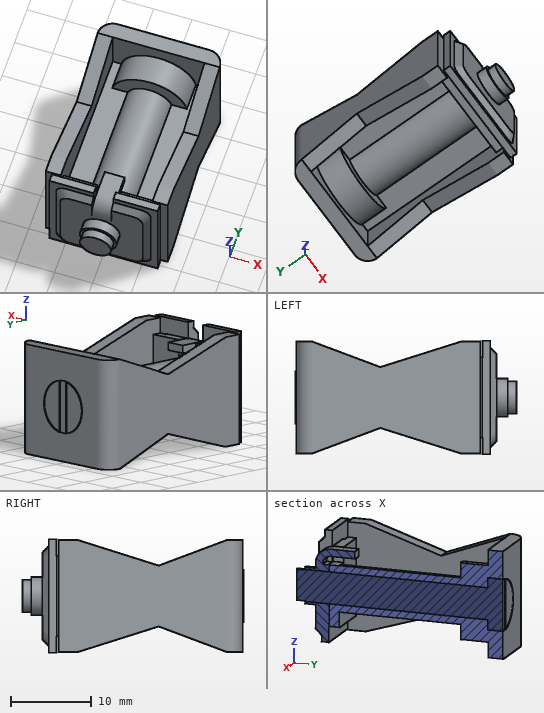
import cadquery as cq
import math


FRAME_WIDTH = 16.0
FRAME_HEIGHT = 14.0
FRAME_LENGTH = 22.95
WALL = 2.0
INNER_WIDTH = FRAME_WIDTH - 2 * WALL
BACK_CORNER_RADIUS = WALL
WAIST_Y = -10.5
WAIST_HEIGHT = 7.62
WAIST_END_Y = -20.55
WEB_THICKNESS = 2.0
WEB_TOP = WEB_THICKNESS / 2
RAIL_THICKNESS = 1.2
RAIL_HEIGHT = 10.05
RAIL_NOTCH_WIDTH = 3.05
SPACER_WIDTH = 10.25
COVER_GAP = 0.25

HUB_DIAMETER = 10.0
HUB_FRONT_Y = -5.65
SLEEVE_DIAMETER = 6.1

COVER_SIZE = 14.2
COVER_BACK_Y = -FRAME_LENGTH - COVER_GAP
FLANGE_THICKNESS = 1.0
PANEL_RISE = 0.8
PANEL_BASE_SIZE = 12.45
PANEL_EDGE_RADIUS = 2.0
PANEL_SLOPE = 45
COVER_FRONT_Y = COVER_BACK_Y - FLANGE_THICKNESS - PANEL_RISE
COLLAR_DIAMETER = 4.8
COLLAR_FRONT_Y = -26.39
TONGUE_WIDTH = 2.6
TONGUE_TOP = 5.05
TONGUE_BEND_RADIUS = -FRAME_LENGTH - COVER_FRONT_Y
TONGUE_SLOT_BOTTOM = TONGUE_TOP - TONGUE_BEND_RADIUS
TONGUE_THICKNESS = 1.0
TONGUE_REAR_Y = -19.7

HEAD_DIAMETER = 6.68
HEAD_RISE = 0.1
SLOT_WIDTH = 1.15
SHANK_DIAMETER = 4.08
PIN_LENGTH = 27.6
TIP_Y = HEAD_RISE - PIN_LENGTH


def block(width, y_rear, y_front, z_bottom, z_top):
    """Box centred on X = 0 between the given Y and Z planes."""
    box = cq.Workplane("XY").box(width, y_rear - y_front, z_top - z_bottom, centered=(True, False, False))
    return box.translate((0, y_front, z_bottom))


def cylinder(diameter, y_rear, y_front):
    """Cylinder on the Y axis between two Y planes."""
    disc = cq.Workplane("XZ", origin=(0, y_rear, 0)).circle(diameter / 2)
    return disc.extrude(y_rear - y_front)


def make_pin():
    head = cylinder(HEAD_DIAMETER, HEAD_RISE, -WALL)
    shank = cylinder(SHANK_DIAMETER, -WALL, TIP_Y)
    slot = block(SLOT_WIDTH, HEAD_RISE, 0, -HEAD_DIAMETER / 2, HEAD_DIAMETER / 2)
    return head.union(shank).cut(slot)


def make_frame(pin):
    half_height = FRAME_HEIGHT / 2
    half_waist = WAIST_HEIGHT / 2
    profile = (
        cq.Workplane("YZ", origin=(-FRAME_WIDTH / 2, 0, 0))
        .moveTo(0, half_height)
        .lineTo(-WALL, half_height)
        .lineTo(WAIST_Y, half_waist)
        .lineTo(WAIST_END_Y, half_height)
        .lineTo(-FRAME_LENGTH, half_height)
        .lineTo(-FRAME_LENGTH, 0)
        .lineTo(0, 0)
        .close()
        .extrude(FRAME_WIDTH)
    )
    frame = profile.union(profile.mirror("XY"))
    frame = frame.edges("|Z and >Y").fillet(BACK_CORNER_RADIUS)
    frame = frame.cut(block(INNER_WIDTH, -WALL, -FRAME_LENGTH, -half_height, half_height))

    rail_rear_y = -FRAME_LENGTH + RAIL_THICKNESS
    half_rail = RAIL_HEIGHT / 2
    frame = frame.union(block(INNER_WIDTH, -WALL, -FRAME_LENGTH, WEB_TOP - WEB_THICKNESS, WEB_TOP))
    frame = frame.union(block(INNER_WIDTH, rail_rear_y, -FRAME_LENGTH, -half_rail, half_rail))
    frame = frame.union(block(SPACER_WIDTH, -FRAME_LENGTH, COVER_BACK_Y, -half_rail, half_rail))
    frame = frame.union(cylinder(HUB_DIAMETER, -WALL, HUB_FRONT_Y))
    frame = frame.union(cylinder(SLEEVE_DIAMETER, -WALL, rail_rear_y))
    frame = frame.cut(block(RAIL_NOTCH_WIDTH, rail_rear_y, COVER_BACK_Y, TONGUE_SLOT_BOTTOM, half_rail))
    return frame.cut(pin)


def make_tongue():
    """Strip that leaves the panel face upright, bends back through a quarter turn and runs level."""
    inner_radius = TONGUE_BEND_RADIUS - TONGUE_THICKNESS
    bend_y = -FRAME_LENGTH
    bend_z = TONGUE_SLOT_BOTTOM
    diagonal = math.sqrt(0.5)
    return (
        cq.Workplane("YZ", origin=(-TONGUE_WIDTH / 2, 0, 0))
        .moveTo(TONGUE_REAR_Y, TONGUE_TOP)
        .lineTo(bend_y, TONGUE_TOP)
        .threePointArc(
            (bend_y - TONGUE_BEND_RADIUS * diagonal, bend_z + TONGUE_BEND_RADIUS * diagonal),
            (COVER_FRONT_Y, bend_z),
        )
        .lineTo(COVER_FRONT_Y + TONGUE_THICKNESS, bend_z)
        .threePointArc(
            (bend_y - inner_radius * diagonal, bend_z + inner_radius * diagonal),
            (bend_y, bend_z + inner_radius),
        )
        .lineTo(TONGUE_REAR_Y, TONGUE_TOP - TONGUE_THICKNESS)
        .close()
        .extrude(TONGUE_WIDTH)
    )


def make_cover(pin):
    flange_front_y = COVER_BACK_Y - FLANGE_THICKNESS
    flange = block(COVER_SIZE, COVER_BACK_Y, flange_front_y, -COVER_SIZE / 2, COVER_SIZE / 2)
    panel = (
        cq.Workplane("XZ", origin=(0, flange_front_y, 0))
        .rect(PANEL_BASE_SIZE, PANEL_BASE_SIZE)
        .extrude(PANEL_RISE, taper=PANEL_SLOPE)
        .edges("not (#Y or |Y)")
        .fillet(PANEL_EDGE_RADIUS)
    )
    slot = block(TONGUE_WIDTH, COVER_BACK_Y, COVER_FRONT_Y, TONGUE_SLOT_BOTTOM, COVER_SIZE / 2)
    collar = cylinder(COLLAR_DIAMETER, COVER_FRONT_Y, COLLAR_FRONT_Y)
    return flange.union(panel).cut(slot).union(make_tongue()).union(collar).cut(pin)


pin = make_pin()
frame = make_frame(pin)
cover = make_cover(pin)

result = cq.Compound.makeCompound([frame.val(), cover.val(), pin.val()])